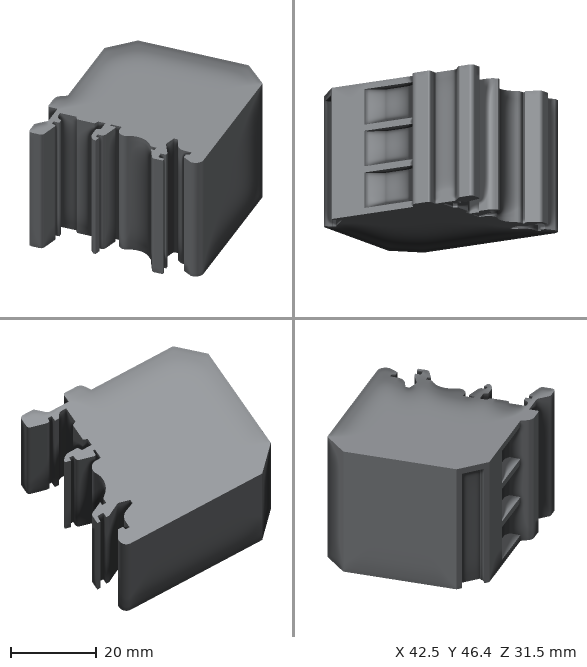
import cadquery as cq
import math

WIDTH = 42.5
DEPTH = 46.4
WALL = 1.5
POLE_PITCH = 10.0
POLE_COUNT = 3
HEIGHT = POLE_COUNT * POLE_PITCH + WALL

LEFT_WALL_X = 2.5
CORNER_CHAMFER = 6.0
RAIL_FACE_Y = 10.4
KEY_BOTTOM_Y = 9.4
TAN_60 = math.tan(math.radians(60))
TAN_30 = math.tan(math.radians(30))

LUG_TOP_Y = 18.05
LUG_BOTTOM_Y = 11.85
LUG_TOP_RADIUS = 2.0
LUG_BOTTOM_RADIUS = 0.5

FOOT_SHOULDER_Y = 3.75
FOOT_RADIUS = 0.9

LOBE_X = 19.3
LOBE_RADIUS = 2.0
ARCH_RADIUS = 4.75
CLIP_NOTCH_Y = 5.2
CLIP_HOOK_Y = 4.1

POCKET_REAR_Y = 31.4
POCKET_DEPTH = 2.9
POCKET_CORNER_DEPTH = 0.6
POCKET_CORNER_RADIUS = 1.0
POCKET_BACK_FRONT_Y = 21.05
POCKET_KNEE_DEPTH = 2.25
POCKET_FLOOR_RISE = 0.95

GROOVE_DIAMETER = 6.5
GROOVE_AXIS_DEPTH = 1.46
GROOVE_LEDGE_DEPTH = 1.8
GROOVE_FLOOR_DEPTH = 2.55
GROOVE_FLOOR_WIDTH = 6.0


def rounded_outline(corners):
    """Closed outline through corners (x, y, radius); radius 0 leaves the corner sharp."""
    stretches = []
    for i, (x, y, radius) in enumerate(corners):
        corner = cq.Vector(x, y)
        before = cq.Vector(*corners[i - 1][:2])
        after = cq.Vector(*corners[(i + 1) % len(corners)][:2])
        to_before = (before - corner).normalized()
        to_after = (after - corner).normalized()
        if radius == 0:
            stretches.append((corner,))
            continue
        half_angle = to_before.getAngle(to_after) / 2
        tangent_length = radius / math.tan(half_angle)
        bisector = (to_before + to_after).normalized()
        middle = corner + bisector * (radius / math.sin(half_angle) - radius)
        stretches.append((corner + to_before * tangent_length, middle, corner + to_after * tangent_length))

    outline = cq.Workplane("XY").moveTo(*stretches[0][-1].toTuple()[:2])
    for stretch in stretches[1:] + stretches[:1]:
        outline = outline.lineTo(*stretch[0].toTuple()[:2])
        if len(stretch) > 1:
            outline = outline.threePointArc(stretch[1].toTuple()[:2], stretch[2].toTuple()[:2])
    return outline.close()


def body():
    """Housing with lug, foot and rail clips: one outline carried through the full height."""
    rear_wall = [
        (WIDTH, DEPTH - CORNER_CHAMFER, 0),
        (WIDTH - CORNER_CHAMFER, DEPTH, 0),
        (LEFT_WALL_X + CORNER_CHAMFER, DEPTH, 0),
        (LEFT_WALL_X, DEPTH - CORNER_CHAMFER, 0),
    ]
    lug = [
        (LEFT_WALL_X, LUG_TOP_Y, 0),
        (0, LUG_TOP_Y - LEFT_WALL_X * TAN_30, LUG_TOP_RADIUS),
        (0, LUG_BOTTOM_Y, LUG_BOTTOM_RADIUS),
        (LEFT_WALL_X, LUG_BOTTOM_Y, 0),
    ]
    foot = [
        (LEFT_WALL_X, FOOT_SHOULDER_Y + LEFT_WALL_X, FOOT_RADIUS),
        (0, FOOT_SHOULDER_Y, FOOT_RADIUS),
        (0, 0, FOOT_RADIUS),
        (3.6, 0, FOOT_RADIUS),
        (4.8, 4.5, 0),
        (4.8, 5.2, 0),
        (3.75, 5.4, 0),
        (3.75, 6.45, 0),
        (5.2, 6.45, 0),
        (5.2, 7.6, 0),
        (3.75, 8.4, 1.5),
        (3.75, RAIL_FACE_Y, 0),
    ]
    key = [
        (7.9, RAIL_FACE_Y, 0),
        (8.4, KEY_BOTTOM_Y, 0),
        (12.9, KEY_BOTTOM_Y, 0),
        (13.4, RAIL_FACE_Y, 0),
    ]
    middle_clip = [
        (15.2, RAIL_FACE_Y, 0),
        (15.2, 7.75, 0),
        (14.15, 7.15, 0),
        (14.15, 3.9, 2.5),
        (15.4, 2.65, 0),
        (15.95, 2.65, 0),
        (16.3, CLIP_HOOK_Y, 0),
        (15.4, CLIP_HOOK_Y, 0),
        (15.4, CLIP_NOTCH_Y, 0),
        (17.0, CLIP_NOTCH_Y, 1.0),
        (18.25, 9.85, 0.4),
        (16.65, 9.85, 0),
        (16.65, RAIL_FACE_Y, 0),
    ]
    wave = [
        (LOBE_X, RAIL_FACE_Y, 0),
        (LOBE_X, 5.78, LOBE_RADIUS),
        (25.55, 9.02, ARCH_RADIUS),
        (28.65, 5.45, 0),
        (29.05, CLIP_NOTCH_Y, 0),
    ]
    double_hook = [
        (30.25, CLIP_NOTCH_Y, 0),
        (30.25, CLIP_HOOK_Y, 0),
        (29.35, CLIP_HOOK_Y, 0),
        (31.1, 0.6, FOOT_RADIUS),
        (33.8, 0.6, 0),
        (33.8, 1.45, 0),
        (32.2, 1.6, 0),
        (32.2, 3.22, 0),
        (33.55, 3.22, 0),
        (33.55, 4.0, 0),
        (31.7, 7.5, 1.0),
        (32.5, RAIL_FACE_Y, 0.3),
    ]
    fixed_hook = [
        (33.5, RAIL_FACE_Y, 0.2),
        (35.17, 6.45, 2.75),
        (38.65, 6.45, 0),
        (38.65, 5.4, 0),
        (37.75, 5.2, 0),
        (37.75, 3.85, 0),
        (40.1, 2.45, 0),
        (WIDTH, 2.45, 2.0),
    ]
    corners = rear_wall + lug + foot + key + middle_clip + wave + double_hook + fixed_hook
    return rounded_outline(corners).extrude(HEIGHT)


def wire_pocket(bottom_z):
    """Pocket cutter: angled front and rear sides, and a bottom that climbs inwards."""
    top_z = bottom_z + POLE_PITCH - WALL
    back_x = LEFT_WALL_X + POCKET_DEPTH
    back_rear_y = POCKET_REAR_Y - (POCKET_DEPTH - POCKET_CORNER_DEPTH) * TAN_60
    sides = rounded_outline([
        (LEFT_WALL_X, POCKET_REAR_Y, 0),
        (LEFT_WALL_X + POCKET_CORNER_DEPTH, POCKET_REAR_Y, POCKET_CORNER_RADIUS),
        (back_x, back_rear_y, 0),
        (back_x, POCKET_BACK_FRONT_Y, 0),
        (LEFT_WALL_X + POCKET_KNEE_DEPTH, LUG_TOP_Y + POCKET_KNEE_DEPTH * TAN_30, 0),
        (LEFT_WALL_X, LUG_TOP_Y, 0),
    ]).extrude(HEIGHT)
    section = (
        cq.Workplane("XZ")
        .moveTo(LEFT_WALL_X, bottom_z)
        .lineTo(back_x, bottom_z + POCKET_FLOOR_RISE)
        .lineTo(back_x, top_z)
        .lineTo(LEFT_WALL_X, top_z)
        .close()
        .extrude(-DEPTH)
    )
    return sides.intersect(section)


def marker_groove():
    """Undercut groove along the -X rear chamfer, open at Z = 0 and closed by the top wall."""
    chamfer_middle = (LEFT_WALL_X + CORNER_CHAMFER / 2, DEPTH - CORNER_CHAMFER / 2, 0)
    chamfer_plane = cq.Plane(origin=chamfer_middle, xDir=(1, 1, 0), normal=(0, 0, 1))
    length = HEIGHT - WALL
    round_part = (
        cq.Workplane(chamfer_plane)
        .center(0, -GROOVE_AXIS_DEPTH)
        .circle(GROOVE_DIAMETER / 2)
        .extrude(length)
    )
    above_ledge = (
        cq.Workplane(chamfer_plane)
        .center(0, GROOVE_DIAMETER / 2 - GROOVE_LEDGE_DEPTH)
        .rect(2 * GROOVE_DIAMETER, GROOVE_DIAMETER)
        .extrude(length)
    )
    flat_part_depth = GROOVE_FLOOR_DEPTH - GROOVE_AXIS_DEPTH
    flat_part = (
        cq.Workplane(chamfer_plane)
        .center(0, -GROOVE_AXIS_DEPTH - flat_part_depth / 2)
        .rect(GROOVE_FLOOR_WIDTH, flat_part_depth)
        .extrude(length)
    )
    return round_part.intersect(above_ledge).union(flat_part)


result = body()
for pole in range(POLE_COUNT):
    result = result.cut(wire_pocket(WALL + pole * POLE_PITCH))
result = result.cut(marker_groove())